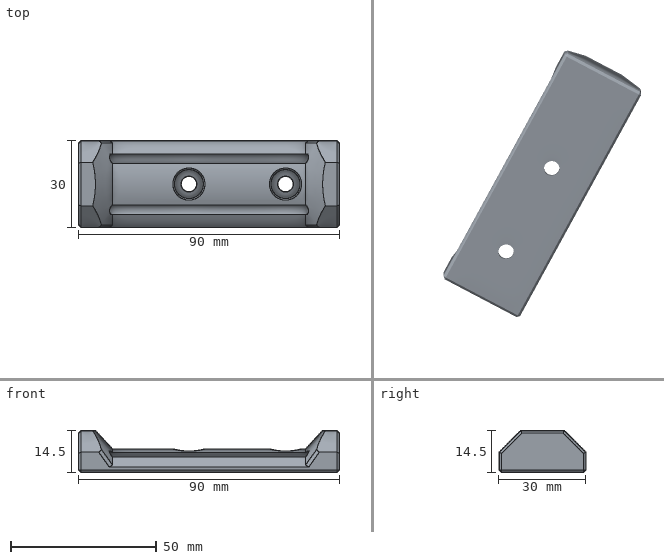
import cadquery as cq
import math

length = 90.0
width = 30.0
height = 14.5
shoulder = 7.5
edge_chamfer = 0.9

crown_height = 8.2
saddle_edge_height = 1.9
end_wall = 11.7
wall_top = 5.85
wall_edge_chamfer = 0.9

groove_diameter = 4.0
groove_offset = 8.5
groove_sink = 0.9
groove_end = 7.2

hole_positions = (-6.9, 26.4)
hole_diameter = 5.3
bore_diameter = 10.0
bore_floor = 2.25
bore_chamfer = 0.5

half_width = width / 2
arch_rise = crown_height - saddle_edge_height
arch_radius = (half_width**2 + arch_rise**2) / (2 * arch_rise)
axis_height = crown_height - arch_radius


def make_block():
    block = cq.Workplane("XY").box(length, width, height, centered=(True, True, False))
    block = block.edges("|X and >Z").chamfer(shoulder)
    return block.faces("<X or >X or <Z").edges().chamfer(edge_chamfer)


def make_saddle_cutter():
    """Ring around the arch axis, flaring out towards both end walls."""
    foot = length / 2 - end_wall
    flare = (end_wall - wall_top) / (height - crown_height)
    outer_radius = arch_radius + height
    outer_half = foot + flare * (outer_radius - arch_radius)
    return (
        cq.Workplane("XZ")
        .moveTo(-foot, crown_height)
        .lineTo(foot, crown_height)
        .lineTo(outer_half, axis_height + outer_radius)
        .lineTo(-outer_half, axis_height + outer_radius)
        .close()
        .revolve(360, (0, axis_height, 0), (1, axis_height, 0))
    )


def chamfer_wall_sides(body):
    """Break the edges between the conical walls and the flat long sides."""
    wall_edges = body.faces("<Y or >Y").edges("%HYPERBOLA or %BSPLINE")
    return wall_edges.chamfer(wall_edge_chamfer)


def make_grooves():
    """Rods just below the arch surface that run on blind into the end walls."""
    groove_length = length - 2 * groove_end
    axis_radius = arch_radius - groove_sink
    groove_height = axis_height + math.sqrt(axis_radius**2 - groove_offset**2)
    centres = [(side * groove_offset, groove_height) for side in (-1, 1)]
    return (
        cq.Workplane("YZ", origin=(-groove_length / 2, 0, 0))
        .pushPoints(centres)
        .circle(groove_diameter / 2)
        .extrude(groove_length)
    )


def cut_screw_holes(body):
    points = [(x, 0) for x in hole_positions]
    through = cq.Workplane("XY").pushPoints(points).circle(hole_diameter / 2).extrude(height)
    bores = (
        cq.Workplane("XY", origin=(0, 0, bore_floor))
        .pushPoints(points)
        .circle(bore_diameter / 2)
        .extrude(height)
    )
    body = body.cut(bores)
    for x in hole_positions:
        reach = bore_diameter / 2 + bore_chamfer / 2
        rim_box = cq.selectors.BoxSelector(
            (x - reach, -reach, crown_height - bore_diameter / 2),
            (x + reach, reach, height),
            boundingbox=True,
        )
        body = body.edges(rim_box).edges("not |Z").chamfer(bore_chamfer)
    return body.cut(through)


saddle = make_block().cut(make_saddle_cutter())
saddle = chamfer_wall_sides(saddle)
result = cut_screw_holes(saddle).cut(make_grooves())